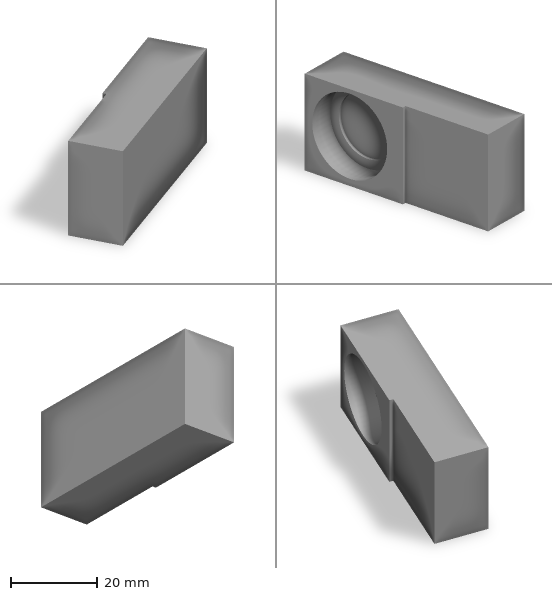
import cadquery as cq

THICKNESS = 14.6
LENGTH = 53.05
HEIGHT = 25.0

HEAD_LENGTH = 28.8
STEP_DEPTH = 1.0

BORE_FROM_END = 13.2
BORE_FROM_BASE = 12.85
BORE_DIAMETER = 22.0
BORE_DEPTH = 6.8
RECESS_DIAMETER = 17.0
RECESS_DEPTH = 0.8


def stepped_block():
    """Block with its full-thickness head at the +Y end, extruded upward from Z = 0."""
    step_y = LENGTH - HEAD_LENGTH
    outline = [
        (STEP_DEPTH, 0),
        (THICKNESS, 0),
        (THICKNESS, LENGTH),
        (0, LENGTH),
        (0, step_y),
        (STEP_DEPTH, step_y),
    ]
    return cq.Workplane("XY").polyline(outline).close().extrude(HEIGHT)


def round_cut(diameter, depth):
    """Cylinder on the bore axis, running from the head face (X = 0) to the given depth."""
    return (
        cq.Workplane("YZ")
        .center(LENGTH - BORE_FROM_END, BORE_FROM_BASE)
        .circle(diameter / 2)
        .extrude(depth)
    )


bore = round_cut(BORE_DIAMETER, BORE_DEPTH)
recess = round_cut(RECESS_DIAMETER, BORE_DEPTH + RECESS_DEPTH)

result = stepped_block().cut(bore).cut(recess)